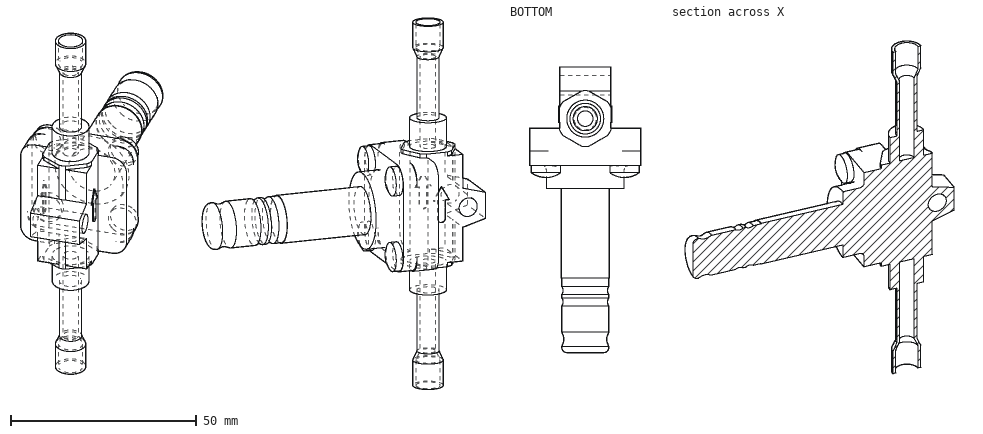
import cadquery as cq


PIPE_END_Z = 51.0
CUP_LENGTH = 7.1
FLARE_LENGTH = 2.5
COLLAR_TOP_Z = 24.2
COLLAR_DIAMETER = 10.0
TUBE_DIAMETER = 6.0
TUBE_BORE_DIAMETER = 4.2
CUP_DIAMETER = 8.3
CUP_BORE_DIAMETER = 6.5

BODY_WIDTH = 13.9
HEX_HALF_HEIGHT = 16.1
HEX_CORNER_DIAMETER = 15.1
FRONT_FACE_Y = -7.4

HOUSING_SIDE = 30.0
HOUSING_FRONT_Y = 2.5
SEAM_Y = 8.8
COVER_BACK_Y = 12.6
BASE_CORNER_RADIUS = 4.1
COVER_CORNER_RADIUS = 5.0

SCREW_OFFSET = 10.6
SCREW_HEAD_DIAMETER = 8.0
SCREW_RIM_HEIGHT = 1.9
SCREW_DOME_HEIGHT = 1.3

FLANGE_DIAMETER = 21.0
FLANGE_END_Y = 18.9
FLANGE_FILLET = 1.2
STEM_DIAMETER = 13.1
SLEEVE_START_Y = 42.9
SLEEVE_DIAMETER = 12.8
STEM_END_Y = 63.1
SMALL_GROOVE_STARTS_Y = (45.3, 48.3)
SMALL_GROOVE_WIDTH = 2.1
SMALL_GROOVE_DIAMETER = 12.0
NECK_START_Y = 57.5
NECK_END_Y = 60.9
NECK_DIAMETER = 11.6
NECK_EDGE_DIAMETER = 12.3
NECK_CHAMFER_LENGTH = 0.6
STEM_END_FILLET = 1.4

LUG_TIP_Y = -14.0
LUG_ROOT_HALF_HEIGHT = 5.5
LUG_TIP_HALF_HEIGHT = 3.7
LUG_HOLE_DIAMETER = 5.2
LUG_HOLE_Y = -9.0

ARROW_Y = -1.2
ARROW_TIP_Z = 6.6
ARROW_HEAD_BASE_Z = 2.8
ARROW_HEAD_HALF_WIDTH = 2.2
ARROW_SHAFT_HALF_WIDTH = 1.1
ARROW_TAIL_Z = -3.5
ARROW_HEIGHT = 0.3


def y_cylinder(diameter, start_y, end_y, x=0, z=0):
    """Cylinder along Y from start_y to end_y."""
    plane = cq.Workplane("XZ", origin=(x, start_y, z))
    return plane.circle(diameter / 2).extrude(start_y - end_y)


def make_body():
    """Hexagonal body with turned corners, merged with the lower square front half."""
    turned_corners = cq.Workplane("XY").circle(HEX_CORNER_DIAMETER / 2).extrude(HEX_HALF_HEIGHT, both=True)
    hexagon = (
        cq.Workplane("XY")
        .polygon(6, BODY_WIDTH, circumscribed=True)
        .extrude(HEX_HALF_HEIGHT, both=True)
        .intersect(turned_corners)
    )
    depth = HOUSING_FRONT_Y - FRONT_FACE_Y
    front_half = cq.Workplane("XY").box(BODY_WIDTH, depth, HOUSING_SIDE)
    return hexagon.union(front_half.translate((0, FRONT_FACE_Y + depth / 2, 0)))


def make_housing():
    """Square base and cover, which differ only in corner radius."""

    def layer(start_y, end_y, corner_radius):
        plane = cq.Workplane("XZ", origin=(0, start_y, 0))
        return plane.rect(HOUSING_SIDE, HOUSING_SIDE).extrude(start_y - end_y).edges("|Y").fillet(corner_radius)

    base = layer(HOUSING_FRONT_Y, SEAM_Y, BASE_CORNER_RADIUS)
    cover = layer(SEAM_Y, COVER_BACK_Y, COVER_CORNER_RADIUS)
    return base.union(cover)


def make_screw_head(x, z):
    """Round screw head with a spherical top."""
    radius = SCREW_HEAD_DIAMETER / 2
    rim_y = COVER_BACK_Y + SCREW_RIM_HEIGHT
    sphere_radius = (radius**2 + SCREW_DOME_HEIGHT**2) / (2 * SCREW_DOME_HEIGHT)
    top_y = rim_y + SCREW_DOME_HEIGHT
    sphere = cq.Workplane("XY").sphere(sphere_radius).translate((x, top_y - sphere_radius, z))
    return y_cylinder(SCREW_HEAD_DIAMETER, COVER_BACK_Y, top_y, x, z).intersect(sphere)


def make_flange():
    """Foot flange of the stem, flaring into the cover through a concave fillet."""
    radius = FLANGE_DIAMETER / 2
    profile = (
        cq.Workplane("XY")
        .moveTo(0, COVER_BACK_Y)
        .lineTo(radius + FLANGE_FILLET, COVER_BACK_Y)
        .radiusArc((radius, COVER_BACK_Y + FLANGE_FILLET), FLANGE_FILLET)
        .lineTo(radius, FLANGE_END_Y)
        .lineTo(0, FLANGE_END_Y)
        .close()
    )
    return profile.revolve(360, (0, 0, 0), (0, 1, 0))


def make_stem():
    """Stem with two small round grooves and a wide neck below its rounded end."""
    sleeve_radius = SLEEVE_DIAMETER / 2
    neck_radius = NECK_DIAMETER / 2
    neck_edge_radius = NECK_EDGE_DIAMETER / 2
    neck_arc_start_y = NECK_START_Y + NECK_CHAMFER_LENGTH
    profile = (
        cq.Workplane("XY")
        .moveTo(0, FLANGE_END_Y)
        .lineTo(STEM_DIAMETER / 2, FLANGE_END_Y)
        .lineTo(STEM_DIAMETER / 2, SLEEVE_START_Y)
        .lineTo(sleeve_radius, SLEEVE_START_Y)
    )
    for groove_start_y in SMALL_GROOVE_STARTS_Y:
        profile = profile.lineTo(sleeve_radius, groove_start_y).threePointArc(
            (SMALL_GROOVE_DIAMETER / 2, groove_start_y + SMALL_GROOVE_WIDTH / 2),
            (sleeve_radius, groove_start_y + SMALL_GROOVE_WIDTH),
        )
    profile = (
        profile.lineTo(sleeve_radius, NECK_START_Y)
        .lineTo(neck_edge_radius, neck_arc_start_y)
        .threePointArc(
            (neck_radius, (neck_arc_start_y + NECK_END_Y) / 2),
            (neck_edge_radius, NECK_END_Y),
        )
        .lineTo(sleeve_radius, NECK_END_Y + NECK_CHAMFER_LENGTH)
        .lineTo(sleeve_radius, STEM_END_Y - STEM_END_FILLET)
        .radiusArc((sleeve_radius - STEM_END_FILLET, STEM_END_Y), -STEM_END_FILLET)
        .lineTo(0, STEM_END_Y)
        .close()
    )
    return profile.revolve(360, (0, 0, 0), (0, 1, 0))


def make_pipe_end():
    """Upper pipe end: collar on the body, tube, flare and cup, with a bore down to the body."""
    flare_end_z = PIPE_END_Z - CUP_LENGTH
    flare_start_z = flare_end_z - FLARE_LENGTH
    profile = (
        cq.Workplane("XZ")
        .moveTo(TUBE_BORE_DIAMETER / 2, HEX_HALF_HEIGHT)
        .lineTo(COLLAR_DIAMETER / 2, HEX_HALF_HEIGHT)
        .lineTo(COLLAR_DIAMETER / 2, COLLAR_TOP_Z)
        .lineTo(TUBE_DIAMETER / 2, COLLAR_TOP_Z)
        .lineTo(TUBE_DIAMETER / 2, flare_start_z)
        .lineTo(CUP_DIAMETER / 2, flare_end_z)
        .lineTo(CUP_DIAMETER / 2, PIPE_END_Z)
        .lineTo(CUP_BORE_DIAMETER / 2, PIPE_END_Z)
        .lineTo(CUP_BORE_DIAMETER / 2, flare_end_z)
        .lineTo(TUBE_BORE_DIAMETER / 2, flare_start_z)
        .close()
    )
    return profile.revolve(360, (0, 0, 0), (0, 1, 0))


def make_lug():
    """Tapered lug across the full width of the body."""
    outline = [
        (FRONT_FACE_Y, -LUG_ROOT_HALF_HEIGHT),
        (LUG_TIP_Y, -LUG_TIP_HALF_HEIGHT),
        (LUG_TIP_Y, LUG_TIP_HALF_HEIGHT),
        (FRONT_FACE_Y, LUG_ROOT_HALF_HEIGHT),
    ]
    return cq.Workplane("YZ").polyline(outline).close().extrude(BODY_WIDTH / 2, both=True)


def make_arrows():
    """Flow arrow through the body, standing proud on both sides and pointing to +Z."""
    back_shaft_y = ARROW_Y + ARROW_SHAFT_HALF_WIDTH
    front_shaft_y = ARROW_Y - ARROW_SHAFT_HALF_WIDTH
    tail_arc_z = ARROW_TAIL_Z + ARROW_SHAFT_HALF_WIDTH
    return (
        cq.Workplane("YZ")
        .moveTo(ARROW_Y, ARROW_TIP_Z)
        .lineTo(ARROW_Y + ARROW_HEAD_HALF_WIDTH, ARROW_HEAD_BASE_Z)
        .lineTo(back_shaft_y, ARROW_HEAD_BASE_Z)
        .lineTo(back_shaft_y, tail_arc_z)
        .threePointArc((ARROW_Y, ARROW_TAIL_Z), (front_shaft_y, tail_arc_z))
        .lineTo(front_shaft_y, ARROW_HEAD_BASE_Z)
        .lineTo(ARROW_Y - ARROW_HEAD_HALF_WIDTH, ARROW_HEAD_BASE_Z)
        .close()
        .extrude(BODY_WIDTH / 2 + ARROW_HEIGHT, both=True)
    )


pipe_end = make_pipe_end()
result = make_body().union(make_housing()).union(make_flange()).union(make_stem())
result = result.union(pipe_end).union(pipe_end.mirror("XY")).union(make_lug()).union(make_arrows())
for screw_x in (-SCREW_OFFSET, SCREW_OFFSET):
    for screw_z in (-SCREW_OFFSET, SCREW_OFFSET):
        result = result.union(make_screw_head(screw_x, screw_z))

lug_hole = cq.Workplane("YZ").center(LUG_HOLE_Y, 0).circle(LUG_HOLE_DIAMETER / 2)
result = result.cut(lug_hole.extrude(BODY_WIDTH, both=True))